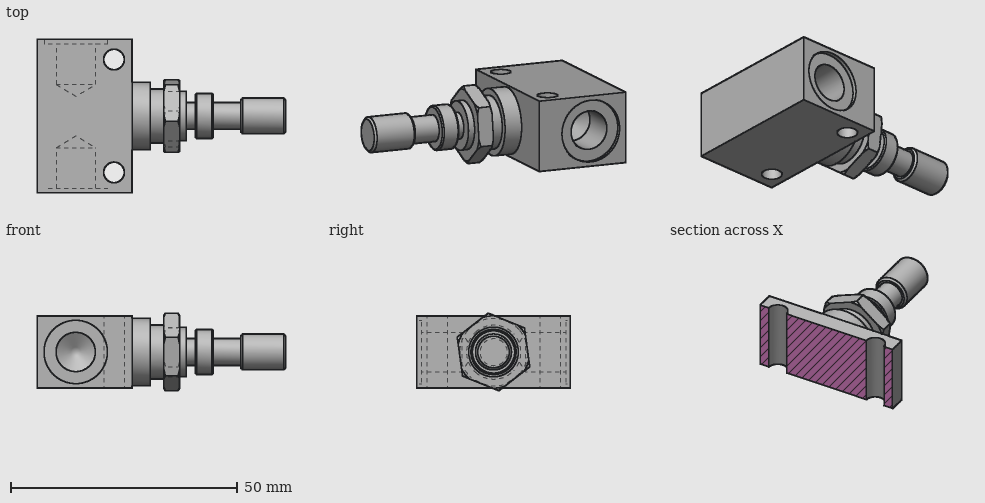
import cadquery as cq
import math

block_length = 21.0
block_width = 34.0
block_height = 16.0

mount_hole_diameter = 4.5
mount_hole_x = 17.0
mount_hole_spacing = 24.95

port_x = 8.5
port_recess_diameter = 14.0
port_recess_depth = 1.0
port_bore_diameter = 8.7
port_bore_depth = 10.0
port_cone_angle = 118

collar_diameter = 15.0
collar_end = 25.0
shoulder_diameter = 12.0
thread_diameter = 11.0
thread_end = 33.0
stem_diameter = 6.0
flange_diameter = 10.0
flange_start = 35.0
flange_end = 39.0
flange_chamfer = 0.35
knob_diameter = 8.0
knob_start = 45.0
knob_end = 55.0
knob_chamfer = 0.5

nut_start = 28.0
nut_thickness = 3.5
nut_across_flats = 15.0
nut_turn = 7.8
nut_chamfer_angle = 30
nut_face_diameter = 16.0
nut_across_corners = nut_across_flats / math.cos(math.radians(30))


def x_cylinder(diameter, start, end):
    """Round bar on the X axis between two X positions."""
    return cq.Workplane("YZ", origin=(start, 0, 0)).circle(diameter / 2).extrude(end - start)


def port():
    """Cutter for the -Y port: shallow recess, then a bore with a conical bottom."""
    recess_radius = port_recess_diameter / 2
    bore_radius = port_bore_diameter / 2
    face_y = -block_width / 2
    cone_start_y = face_y + port_bore_depth
    cone_depth = bore_radius / math.tan(math.radians(port_cone_angle / 2))
    outline = [
        (0, face_y),
        (recess_radius, face_y),
        (recess_radius, face_y + port_recess_depth),
        (bore_radius, face_y + port_recess_depth),
        (bore_radius, cone_start_y),
        (0, cone_start_y + cone_depth),
    ]
    cutter = cq.Workplane("XY").polyline(outline).close().revolve(360, (0, 0), (0, 1))
    return cutter.translate((port_x, 0, 0))


def valve_block():
    """Rectangular block with two mounting holes and a port at each Y end."""
    block = cq.Workplane("XY").box(block_length, block_width, block_height, centered=(False, True, True))
    mount_holes = (
        cq.Workplane("XY", origin=(mount_hole_x, 0, -block_height / 2))
        .pushPoints([(0, side * mount_hole_spacing / 2) for side in (-1, 1)])
        .circle(mount_hole_diameter / 2)
        .extrude(block_height)
    )
    return block.cut(mount_holes).cut(port()).cut(port().mirror("XZ"))


def spindle():
    """Collar, shoulder, thread, stem, flange and knob in line on the X axis."""
    collar = x_cylinder(collar_diameter, block_length, collar_end)
    shoulder = x_cylinder(shoulder_diameter, collar_end, nut_start)
    thread = x_cylinder(thread_diameter, nut_start, thread_end)
    stem = x_cylinder(stem_diameter, thread_end, knob_start)
    flange = x_cylinder(flange_diameter, flange_start, flange_end).edges("%CIRCLE").chamfer(flange_chamfer)
    knob = x_cylinder(knob_diameter, knob_start, knob_end).edges("%CIRCLE").chamfer(knob_chamfer)
    return collar.union(shoulder).union(thread).union(stem).union(flange).union(knob)


def make_valve():
    """Block and spindle as one solid."""
    return valve_block().union(spindle())


def make_nut():
    """Hexagonal nut with its corners chamfered at both faces."""
    nut_end = nut_start + nut_thickness
    blank = (
        cq.Workplane("YZ", origin=(nut_start, 0, 0))
        .transformed(rotate=(0, 0, 90 + nut_turn))
        .polygon(6, nut_across_corners)
        .extrude(nut_thickness)
    )
    face_radius = nut_face_diameter / 2
    corner_radius = nut_across_corners / 2
    chamfer_length = (corner_radius - face_radius) * math.tan(math.radians(nut_chamfer_angle))
    clearance = chamfer_length / 2
    envelope_radius = corner_radius + clearance / math.tan(math.radians(nut_chamfer_angle))
    envelope_outline = [
        (nut_start, 0),
        (nut_start, face_radius),
        (nut_start + chamfer_length + clearance, envelope_radius),
        (nut_end - chamfer_length - clearance, envelope_radius),
        (nut_end, face_radius),
        (nut_end, 0),
    ]
    envelope = cq.Workplane("XY").polyline(envelope_outline).close().revolve(360, (0, 0), (1, 0))
    bore = x_cylinder(thread_diameter, nut_start, nut_end)
    return blank.intersect(envelope).cut(bore)


valve = make_valve()
nut = make_nut()

result = cq.Compound.makeCompound([valve.val(), nut.val()])